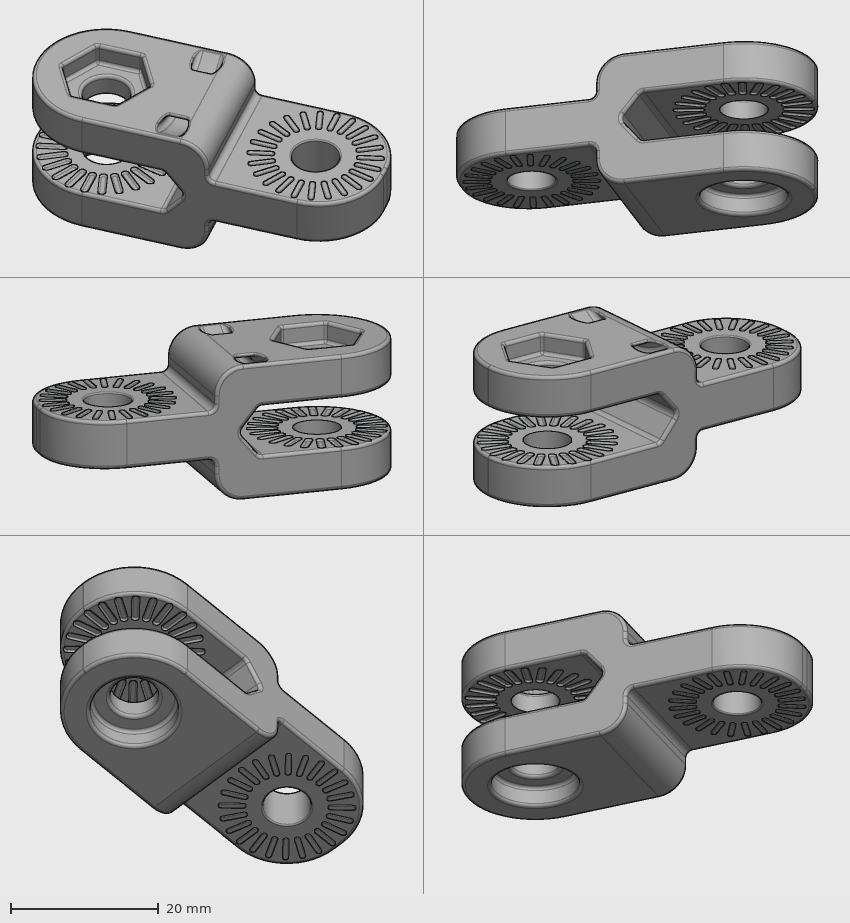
import cadquery as cq
import math

length = 50
width = 20
height = 19.05
half_width = width / 2
edge_round = 0.5

fork_pivot_x = half_width
tongue_pivot_x = length - half_width
fork_gap = 7.05
tongue_thickness = 6.85
gap_corner_x = 21.65
gap_wedge_angle = 50
gap_corner_radius = 1
shoulder_x = 28
shoulder_radius = 4
tongue_root_radius = 1
fork_corner_radius = 9.95
tip_corner_radius = 9.25

hole_diameter = 6.6
tongue_hole_round = 0.2
nut_across_flats = 11
nut_depth = 3
head_diameter = 12
head_depth = 3

tooth_count = 24
tooth_middle_radius = 7.45
rib_length = 3.8
rib_width = 0.85
rib_height = 0.15
rib_round = 0.125
groove_length = 4.3
groove_width = 1.1
groove_depth = 0.3
groove_round = 0.25

channel_x = 22
channel_width = 4
channel_height = 1.6
channel_corner_radius = 0.75
channel_outer_radius = 16
channel_exit_y = 9.2
channel_mouth_round = 0.25

top = height / 2
fork_face = fork_gap / 2
tongue_face = tongue_thickness / 2
hole_radius = hole_diameter / 2


def make_body():
    """Side profile through the width, trimmed to the rounded outline and rounded at its rims."""
    gap_tip_x = gap_corner_x + fork_face / math.tan(math.radians(gap_wedge_angle))
    profile = (
        cq.Workplane("XZ")
        .moveTo(0, top)
        .lineTo(shoulder_x - shoulder_radius, top)
        .radiusArc((shoulder_x, top - shoulder_radius), shoulder_radius)
        .lineTo(shoulder_x, tongue_face + tongue_root_radius)
        .radiusArc((shoulder_x + tongue_root_radius, tongue_face), -tongue_root_radius)
        .lineTo(length, tongue_face)
        .lineTo(length, -tongue_face)
        .lineTo(shoulder_x + tongue_root_radius, -tongue_face)
        .radiusArc((shoulder_x, -tongue_face - tongue_root_radius), -tongue_root_radius)
        .lineTo(shoulder_x, -top + shoulder_radius)
        .radiusArc((shoulder_x - shoulder_radius, -top), shoulder_radius)
        .lineTo(0, -top)
        .lineTo(0, -fork_face)
        .lineTo(gap_corner_x, -fork_face)
        .lineTo(gap_tip_x, 0)
        .lineTo(gap_corner_x, fork_face)
        .lineTo(0, fork_face)
        .close()
        .extrude(half_width, both=True)
    )
    gap_corners = cq.selectors.BoxSelector(
        (gap_corner_x - 0.5, -0.5, -fork_face - 0.5), (gap_tip_x + 0.5, 0.5, fork_face + 0.5)
    )
    profile = profile.edges("|Y").edges(gap_corners).fillet(gap_corner_radius)

    outline = (
        cq.Workplane("XY")
        .box(length, width, height)
        .translate((length / 2, 0, 0))
        .edges("|Z and <X")
        .fillet(fork_corner_radius)
        .edges("|Z and >X")
        .fillet(tip_corner_radius)
    )
    return profile.intersect(outline).edges("not(|Y or |Z)").fillet(edge_round)


def edges_near(body, centre, reach, z):
    """Edges lying in the plane at height z, within a square reach around a centre point."""
    x, y = centre
    margin = 0.005
    box = cq.selectors.BoxSelector(
        (x - reach, y - reach, z - margin), (x + reach, y + reach, z + margin), boundingbox=True
    )
    return body.edges(box)


def cut_bolt_holes(body):
    """Bolt holes through the fork and the tongue, with the tongue hole rounded at both rims."""
    pivots = [(fork_pivot_x, 0), (tongue_pivot_x, 0)]
    holes = cq.Workplane("XY", origin=(0, 0, -top)).pushPoints(pivots).circle(hole_radius).extrude(height)
    body = body.cut(holes)
    for face_z in (tongue_face, -tongue_face):
        body = edges_near(body, pivots[1], hole_radius + 0.5, face_z).fillet(tongue_hole_round)
    return body


def cut_fork_recess(body, recess, face_z, floor_z, reach):
    """Cut a recess into an outer fork face, then round its rim and the bolt hole in its floor."""
    pivot = (fork_pivot_x, 0)
    body = body.cut(recess)
    body = edges_near(body, pivot, hole_radius + edge_round, floor_z).fillet(edge_round)
    return edges_near(body, pivot, reach, face_z).fillet(edge_round)


def cut_nut_pocket(body):
    """Hexagonal pocket in the top face, with rounded corners and a rounded floor edge."""
    floor_z = top - nut_depth
    nut_across_corners = nut_across_flats / math.cos(math.radians(30))
    pocket = (
        cq.Workplane("XY", origin=(fork_pivot_x, 0, floor_z))
        .polygon(6, nut_across_corners)
        .extrude(nut_depth)
        .edges("|Z")
        .fillet(edge_round)
        .faces("<Z")
        .edges()
        .fillet(edge_round)
    )
    return cut_fork_recess(body, pocket, top, floor_z, nut_across_corners / 2 + edge_round)


def cut_head_recess(body):
    """Round recess for the bolt head in the bottom face, with a rounded floor edge."""
    recess = (
        cq.Workplane("XY", origin=(fork_pivot_x, 0, -top))
        .circle(head_diameter / 2)
        .extrude(head_depth)
        .faces(">Z")
        .edges()
        .fillet(edge_round)
    )
    return cut_fork_recess(body, recess, -top, -top + head_depth, head_diameter / 2 + edge_round)


def ring_of_teeth(pivot_x, face_z, direction, tooth_length, tooth_width, tooth_height, tooth_round):
    """Round-ended bars around a pivot, rising from face_z up (1) or down (-1) to a rounded top."""
    plane = cq.Plane(origin=(pivot_x, 0, face_z), xDir=(1, 0, 0), normal=(0, 0, direction))
    tooth = (
        cq.Workplane(plane)
        .center(tooth_middle_radius, 0)
        .slot2D(tooth_length, tooth_width)
        .extrude(tooth_height)
        .faces(">Z" if direction > 0 else "<Z")
        .edges()
        .fillet(tooth_round)
    )
    axis_start = (pivot_x, 0, 0)
    axis_end = (pivot_x, 0, 1)
    step = 360 / tooth_count
    teeth = [tooth.rotate(axis_start, axis_end, step * i).val() for i in range(tooth_count)]
    return cq.Compound.makeCompound(teeth)


def add_teeth(body):
    """Ribs on both tongue faces, and grooves of the same pattern in both inner fork faces."""
    rib_size = (rib_length, rib_width, rib_height, rib_round)
    groove_size = (groove_length, groove_width, groove_depth, groove_round)
    for side in (1, -1):
        ribs = ring_of_teeth(tongue_pivot_x, side * tongue_face, side, *rib_size)
        grooves = ring_of_teeth(fork_pivot_x, side * fork_face, side, *groove_size)
        body = body.union(ribs).cut(grooves)
    return body


def cut_tie_channel(body):
    """Ring about an axis along X, high enough to dip under the top face between two mouths."""
    axis_rise = math.sqrt(channel_outer_radius**2 - channel_exit_y**2)
    middle_radius = channel_outer_radius - channel_height / 2
    ring = (
        cq.Workplane("XZ", origin=(channel_x, 0, top + axis_rise - middle_radius))
        .sketch()
        .rect(channel_width, channel_height)
        .vertices()
        .fillet(channel_corner_radius)
        .finalize()
        .revolve(360, (0, middle_radius, 0), (1, middle_radius, 0))
    )
    body = body.cut(ring)
    for side in (1, -1):
        mouth_centre = (channel_x, side * channel_exit_y)
        body = edges_near(body, mouth_centre, channel_width, top).fillet(channel_mouth_round)
    return body


body = make_body()
body = cut_tie_channel(body)
body = cut_bolt_holes(body)
body = cut_nut_pocket(body)
body = cut_head_recess(body)
result = add_teeth(body)